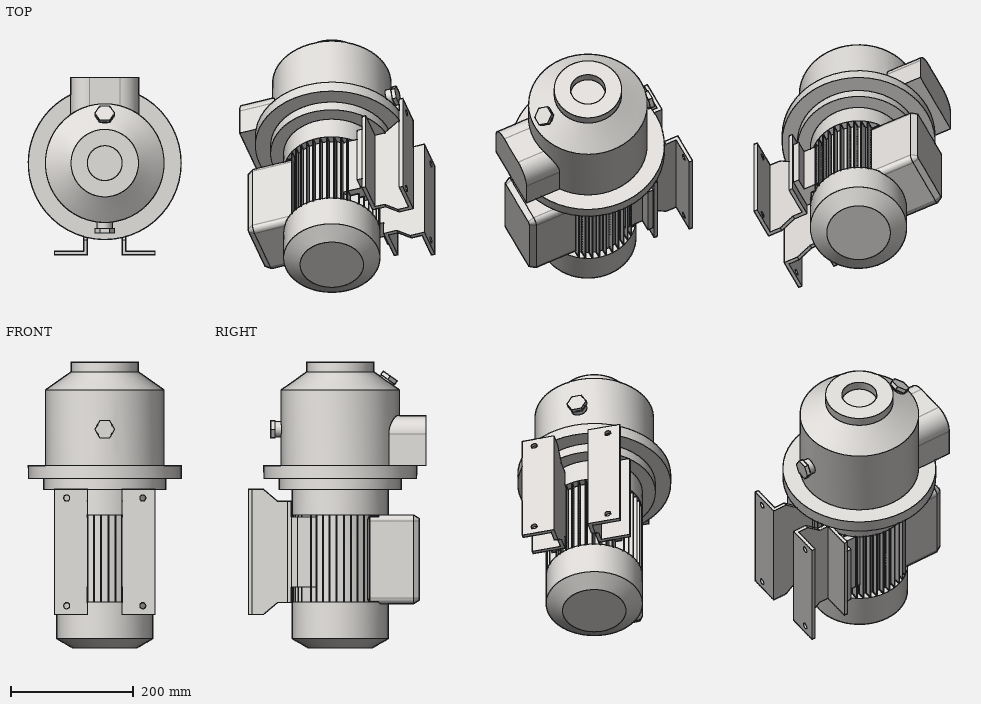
import cadquery as cq
import math

FAN_COVER_EDGE_Z = 15.5
FIN_BOTTOM_Z = 75.5
FIN_TOP_Z = 217.5
MOTOR_FLANGE_Z = 258.5
SPLIT_Z = 277.0
PUMP_FLANGE_TOP_Z = 298.0
CONE_BOTTOM_Z = 421.5
CONE_TOP_Z = 451.0
TOP_Z = 467.0

PUMP_FLANGE_R = 250.0 / 2
CASING_R = 194.0 / 2
NECK_R = 55.0
SUCTION_BORE_R = 28.5
MOTOR_FLANGE_R = 100.0
MOTOR_R = 157.5 / 2
FAN_COVER_END_R = 52.0

OUTLET_END_Y = 140.0
OUTLET_WIDTH = 111.0
OUTLET_TOP_Z = 379.5
OUTLET_CORNER_R = 30.5

PLUG_HEX_FLATS = 28.0
PLUG_HEAD_THICKNESS = 7.0
PLUG_STEM_D = 25.5
DRAIN_PLUG_Z = 357.3
DRAIN_STEM_LENGTH = 10.0
VENT_STEM_LENGTH = 3.0
STEM_EMBED = 9.5

CORE_R = 67.2
FIN_THICKNESS = 1.5
FIN_PITCH_ANGLE = 10.0
FINS_PER_HALF_SIDE = 5

BOX_WIDTH = 101.0
BOX_END_Y = 129.5
BOX_BOTTOM_Z = 72.5
BOX_TOP_Z = FIN_TOP_Z
BOX_EDGE_R = 10.0
BOX_CHAMFER_DEPTH = 10.0
BOX_CHAMFER_INSET = 6.0

BRACKET_FRONT_Y = -150.0
BRACKET_BACK_Y = -80.0
BRACKET_INNER_X = 28.5
BRACKET_OUTER_X = 82.0
BRACKET_THICKNESS = 6.0
FOOT_BOTTOM_Z = 54.5
FOOT_TOP_Z = 259.5
BACK_PLATE_STEP = 19.5
SLOPE_FRONT_Y = -125.5
SLOPE_BACK_Y = -102.5
FOOT_HOLE_D = 10.0
FOOT_HOLE_X = 62.0
FOOT_HOLE_INSET = 14.5
PAD_BOTTOM_Z = 99.5
PAD_TOP_Z = 214.5
PAD_OUTER_X = 59.0
PAD_BACK_Y = -38.5
PAD_LIP_OUTER_X = 78.5
PAD_LIP_BACK_Y = -70.0


def box_between(x_range, y_range, z_range):
    """Box that fills the given X, Y and Z ranges."""
    (x0, x1), (y0, y1), (z0, z1) = x_range, y_range, z_range
    return cq.Workplane("XY").box(x1 - x0, y1 - y0, z1 - z0, centered=False).translate((x0, y0, z0))


def cylinder_between(radius, bottom_z, top_z):
    """Cylinder on the Z axis."""
    return cq.Workplane("XY").workplane(offset=bottom_z).circle(radius).extrude(top_z - bottom_z)


def revolved(profile):
    """Solid of revolution about Z from (radius, z) points."""
    return cq.Workplane("XZ").polyline(profile).close().revolve(360, (0, 0, 0), (0, 1, 0))



def pump_casing():
    """Flange, casing, cone and suction neck with its blind bore."""
    return revolved([
        (0, SPLIT_Z),
        (PUMP_FLANGE_R, SPLIT_Z),
        (PUMP_FLANGE_R, PUMP_FLANGE_TOP_Z),
        (CASING_R, PUMP_FLANGE_TOP_Z),
        (CASING_R, CONE_BOTTOM_Z),
        (NECK_R, CONE_TOP_Z),
        (NECK_R, TOP_Z),
        (SUCTION_BORE_R, TOP_Z),
        (SUCTION_BORE_R, CONE_TOP_Z),
        (0, CONE_TOP_Z),
    ])


def discharge_outlet():
    """Block standing on the flange, rounded along its two upper edges."""
    half_width = OUTLET_WIDTH / 2
    block = box_between((-half_width, half_width), (0, OUTLET_END_Y), (PUMP_FLANGE_TOP_Z, OUTLET_TOP_Z))
    return block.faces(">Z").edges("|Y").fillet(OUTLET_CORNER_R)


def hex_plug(seat, direction, stem_length):
    """Plug on the casing surface at seat; two corners of its head lie along X."""
    plane = cq.Plane(origin=seat, xDir=(1, 0, 0), normal=direction)
    stem = (
        cq.Workplane(plane)
        .workplane(offset=-STEM_EMBED)
        .circle(PLUG_STEM_D / 2)
        .extrude(STEM_EMBED + stem_length)
    )
    corner_diameter = PLUG_HEX_FLATS / math.cos(math.pi / 6)
    head = (
        cq.Workplane(plane)
        .workplane(offset=stem_length)
        .polygon(6, corner_diameter)
        .extrude(PLUG_HEAD_THICKNESS)
    )
    return stem.union(head)


def drain_plug():
    """Plug on the -Y side of the casing."""
    return hex_plug((0, -CASING_R, DRAIN_PLUG_Z), (0, -1, 0), DRAIN_STEM_LENGTH)


def vent_plug():
    """Plug square to the cone, halfway up its +Y side."""
    seat = (0, (CASING_R + NECK_R) / 2, (CONE_BOTTOM_Z + CONE_TOP_Z) / 2)
    cone_normal = (0, CONE_TOP_Z - CONE_BOTTOM_Z, CASING_R - NECK_R)
    return hex_plug(seat, cone_normal, VENT_STEM_LENGTH)


def make_pump():
    return pump_casing().union(discharge_outlet()).union(drain_plug()).union(vent_plug())



def motor_frame():
    """Fan cover, core, bearing end and flange."""
    return revolved([
        (0, 0),
        (FAN_COVER_END_R, 0),
        (MOTOR_R, FAN_COVER_EDGE_Z),
        (MOTOR_R, FIN_BOTTOM_Z),
        (CORE_R, FIN_BOTTOM_Z),
        (CORE_R, FIN_TOP_Z),
        (MOTOR_R, FIN_TOP_Z),
        (MOTOR_R, MOTOR_FLANGE_Z),
        (MOTOR_FLANGE_R, MOTOR_FLANGE_Z),
        (MOTOR_FLANGE_R, SPLIT_Z),
        (0, SPLIT_Z),
    ])


def cooling_fins():
    """Parallel fins on all four sides: along X on the left and right, along Y on the front and back."""
    height = FIN_TOP_Z - FIN_BOTTOM_Z
    fins = cylinder_between(CORE_R, FIN_BOTTOM_Z, FIN_TOP_Z)
    for index in range(FINS_PER_HALF_SIDE):
        offset = CORE_R * math.sin(math.radians(FIN_PITCH_ANGLE * (index + 0.5)))
        for place in (-offset, offset):
            fin = (
                cq.Workplane("XY")
                .box(2 * MOTOR_R, FIN_THICKNESS, height, centered=(True, True, False))
                .translate((0, place, FIN_BOTTOM_Z))
            )
            fins = fins.union(fin).union(fin.rotate((0, 0, 0), (0, 0, 1), 90))
    return fins.intersect(cylinder_between(MOTOR_R, FIN_BOTTOM_Z, FIN_TOP_Z))


def terminal_box():
    """Box with rounded long edges and a chamfer all round its end face."""
    half_width = BOX_WIDTH / 2
    box = box_between((-half_width, half_width), (0, BOX_END_Y), (BOX_BOTTOM_Z, BOX_TOP_Z))
    box = box.edges("|Y").fillet(BOX_EDGE_R)
    return box.faces(">Y").chamfer(BOX_CHAMFER_INSET, BOX_CHAMFER_DEPTH)


def bracket_pad():
    """Pad on the right front of the motor, with a wider lip where the bracket seats."""
    z_range = (PAD_BOTTOM_Z, PAD_TOP_Z)
    pad = box_between((BRACKET_INNER_X, PAD_OUTER_X), (BRACKET_BACK_Y, PAD_BACK_Y), z_range)
    lip = box_between((BRACKET_INNER_X, PAD_LIP_OUTER_X), (BRACKET_BACK_Y, PAD_LIP_BACK_Y), z_range)
    return pad.union(lip)


def mounting_bracket():
    """Right-hand bracket: back plate, web with sloped ends, and drilled foot."""
    plate_bottom_z = FOOT_BOTTOM_Z + BACK_PLATE_STEP
    plate_top_z = FOOT_TOP_Z - BACK_PLATE_STEP
    web = (
        cq.Workplane("YZ")
        .workplane(offset=BRACKET_INNER_X)
        .polyline([
            (BRACKET_BACK_Y, plate_bottom_z),
            (SLOPE_BACK_Y, plate_bottom_z),
            (SLOPE_FRONT_Y, FOOT_BOTTOM_Z),
            (BRACKET_FRONT_Y, FOOT_BOTTOM_Z),
            (BRACKET_FRONT_Y, FOOT_TOP_Z),
            (SLOPE_FRONT_Y, FOOT_TOP_Z),
            (SLOPE_BACK_Y, plate_top_z),
            (BRACKET_BACK_Y, plate_top_z),
        ])
        .close()
        .extrude(BRACKET_THICKNESS)
    )
    x_range = (BRACKET_INNER_X, BRACKET_OUTER_X)
    back_plate = box_between(
        x_range, (BRACKET_BACK_Y - BRACKET_THICKNESS, BRACKET_BACK_Y), (plate_bottom_z, plate_top_z)
    )
    foot = box_between(
        x_range, (BRACKET_FRONT_Y, BRACKET_FRONT_Y + BRACKET_THICKNESS), (FOOT_BOTTOM_Z, FOOT_TOP_Z)
    )
    hole_heights = (FOOT_BOTTOM_Z + FOOT_HOLE_INSET, FOOT_TOP_Z - FOOT_HOLE_INSET)
    holes = (
        cq.Workplane("XZ", origin=(0, BRACKET_FRONT_Y, 0))
        .pushPoints([(FOOT_HOLE_X, z) for z in hole_heights])
        .circle(FOOT_HOLE_D / 2)
        .extrude(-BRACKET_THICKNESS)
    )
    return web.union(back_plate).union(foot.cut(holes))


def make_motor():
    motor = motor_frame().union(cooling_fins()).union(terminal_box())
    right_mount = bracket_pad().union(mounting_bracket())
    return motor.union(right_mount).union(right_mount.mirror("YZ"))


pump = make_pump()
motor = make_motor()

result = cq.Compound.makeCompound([pump.val(), motor.val()])